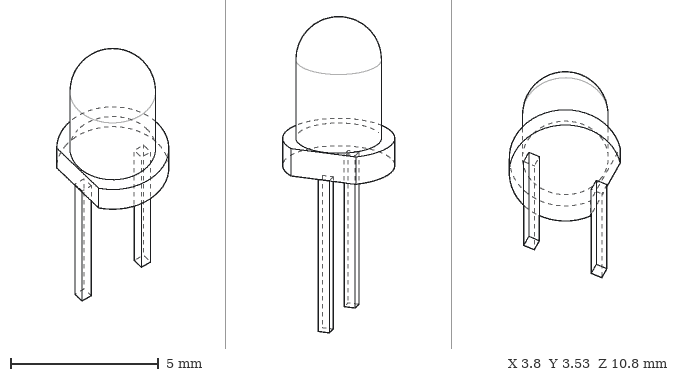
import cadquery as cq

total_height = 10.8
lens_diameter = 2.9
flange_diameter = 3.8
flange_thickness = 0.99
flat_distance = 1.5
lead_length = 5.51
lead_width = 0.4
lead_pitch = 2.54
turn_angle = 7.0

lens_radius = lens_diameter / 2
flange_radius = flange_diameter / 2
dome_base_height = total_height - lens_radius


def make_lens():
    """Cylinder with a hemispherical top, standing on the flange underside."""
    return (
        cq.Workplane("XZ")
        .moveTo(0, lead_length)
        .lineTo(lens_radius, lead_length)
        .lineTo(lens_radius, dome_base_height)
        .radiusArc((0, total_height), -lens_radius)
        .close()
        .revolve(360, (0, 0, 0), (0, 1, 0))
    )


def make_flange():
    """Disc with one side cut flat, facing -Y before turning."""
    disc = (
        cq.Workplane("XY", origin=(0, 0, lead_length))
        .circle(flange_radius)
        .extrude(flange_thickness)
    )
    kept_depth = flange_radius + flat_distance
    kept_side = (
        cq.Workplane("XY", origin=(0, kept_depth / 2 - flat_distance, lead_length))
        .rect(flange_diameter, kept_depth)
        .extrude(flange_thickness)
    )
    return disc.intersect(kept_side)


def make_leads():
    """Two square leads, spaced along Y before turning."""
    return (
        cq.Workplane("XY")
        .pushPoints([(0, -lead_pitch / 2), (0, lead_pitch / 2)])
        .rect(lead_width, lead_width)
        .extrude(lead_length)
    )


base = make_flange().union(make_leads()).rotate((0, 0, 0), (0, 0, 1), turn_angle)
result = base.union(make_lens())